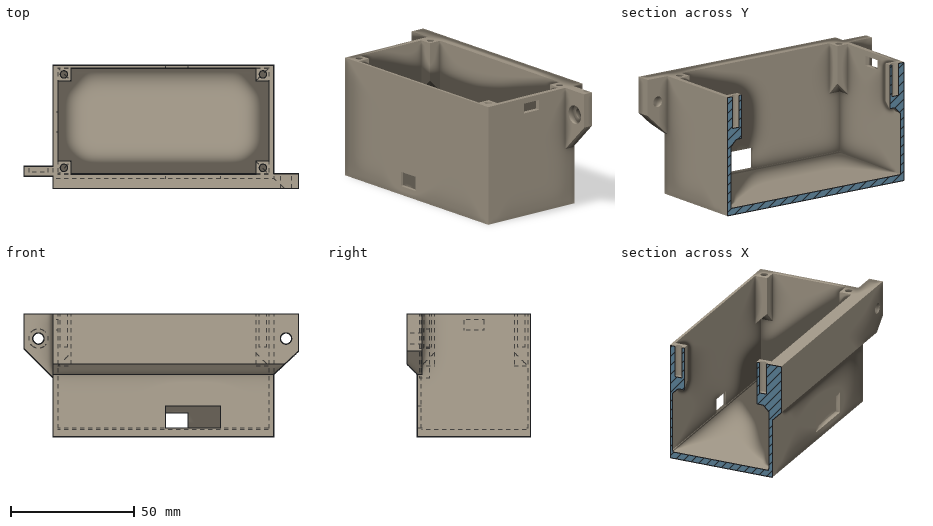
import cadquery as cq

total_length = 111.6
box_length = 89.7
box_width = 46.1
height = 50.0
wall = 2.0
back_wall = 1.1
front_wall = 1.7
floor = 3.0

ledge_depth = 0.3
ledge_top = 3.7

left_overhang = 11.8
right_overhang = total_length - left_overhang - box_length
bar_projection = 4.1
bar_thickness = 6.1
bar_end_height = 15.2
bar_face_height = 20.4

tab_thickness = 4.1
tab_front = 0.9
tab_edge_height = 14.2

mount_hole_diameter = 4.5
mount_hole_drop = 10.0
mount_hole_inset = 5.9
right_hole_inset = 5.1
tab_bore_diameter = 7.8
tab_bore_depth = 2.5

post_size = 5.4
post_length = 15.8
screw_diameter = 3.0
screw_depth = 13.4
screw_inset_x = 4.5
screw_spacing_y = 37.9

window_x = 45.8
window_z = ledge_top
window_length = 22.2
window_height = 8.8
port_length = 9.0
port_height = 6.0
slot_width = 8.1
slot_height = 4.1
slot_drop = 2.3

cavity_x = (wall, box_length - wall)
cavity_y = (front_wall, box_width - back_wall)


def block(x, y, z, length, width, tall):
    return cq.Workplane("XY").box(length, width, tall, centered=False).translate((x, y, z))


def make_cavity():
    """Inside of the box, narrower near the floor to leave a ledge along both long walls."""
    length = cavity_x[1] - cavity_x[0]
    width = cavity_y[1] - cavity_y[0]
    upper = block(cavity_x[0], cavity_y[0], ledge_top, length, width, height - ledge_top)
    foot_y = cavity_y[0] + ledge_depth
    foot_width = width - 2 * ledge_depth
    return upper.union(block(cavity_x[0], foot_y, floor, length, foot_width, height - floor))


def make_bar():
    """Front bar whose underside slopes down to the box at the front and the right end."""
    rear = bar_thickness - bar_projection
    face_bottom = height - bar_face_height
    slope_bottom = face_bottom - bar_projection
    end = box_length + right_overhang
    bar = (
        cq.Workplane("YZ")
        .polyline([
            (rear, height),
            (-bar_projection, height),
            (-bar_projection, face_bottom),
            (0, slope_bottom),
            (rear, slope_bottom),
        ])
        .close()
        .extrude(end)
    )
    outline = (
        cq.Workplane("XZ", origin=(0, rear, 0))
        .polyline([
            (0, height),
            (end, height),
            (end, height - bar_end_height),
            (box_length, slope_bottom),
            (0, slope_bottom),
        ])
        .close()
        .extrude(bar_thickness)
    )
    return bar.intersect(outline)


def make_tab():
    """Left tab with a 45 degree lower edge."""
    edge_bottom = height - tab_edge_height
    return (
        cq.Workplane("XZ", origin=(0, tab_front + tab_thickness, 0))
        .polyline([
            (0, height),
            (-left_overhang, height),
            (-left_overhang, edge_bottom),
            (0, edge_bottom - left_overhang),
        ])
        .close()
        .extrude(tab_thickness)
    )


def make_posts():
    """Four corner posts, each foot sloping at 45 degrees into both adjoining walls."""
    profile = [
        (0, height),
        (post_size, height),
        (post_size, height - post_length),
        (0, height - post_length - post_size),
    ]
    along_x = cq.Workplane("XZ").polyline(profile).close().extrude(-post_size)
    along_y = cq.Workplane("YZ").polyline(profile).close().extrude(post_size)
    left_front = along_x.union(along_y).translate((cavity_x[0], cavity_y[0], 0))
    middle_x = sum(cavity_x) / 2
    middle_y = sum(cavity_y) / 2
    left = left_front.union(left_front.mirror("XZ", (0, middle_y, 0)))
    return left.union(left.mirror("YZ", (middle_x, 0, 0)))


def make_screw_holes():
    """Blind lid screw holes, one in each post."""
    return (
        cq.Workplane("XY", origin=(box_length / 2, sum(cavity_y) / 2, height))
        .rect(box_length - 2 * screw_inset_x, screw_spacing_y, forConstruction=True)
        .vertices()
        .circle(screw_diameter / 2)
        .extrude(-screw_depth)
    )


def make_mount_holes():
    """Holes through the tab and the right end of the bar."""
    left_x = mount_hole_inset - left_overhang
    right_x = box_length + right_overhang - right_hole_inset
    hole_z = height - mount_hole_drop
    return (
        cq.Workplane("XZ", origin=(0, box_width, 0))
        .pushPoints([(left_x, hole_z), (right_x, hole_z)])
        .circle(mount_hole_diameter / 2)
        .extrude(box_width + bar_projection)
    )


def make_tab_bore():
    """Counterbore for the mounting screw, sunk into the rear of the tab."""
    rear = tab_front + tab_thickness
    return (
        cq.Workplane("XZ", origin=(0, rear, 0))
        .center(mount_hole_inset - left_overhang, height - mount_hole_drop)
        .circle(tab_bore_diameter / 2)
        .extrude(tab_bore_depth)
    )


def make_openings():
    """Front window, back port and left slot, each through one wall."""
    window = block(window_x, 0, window_z, window_length, front_wall + ledge_depth, window_height)
    port_y = cavity_y[1] - ledge_depth
    port = block(window_x, port_y, window_z, port_length, box_width - port_y, port_height)
    slot_z = height - slot_drop - slot_height
    slot_y = (box_width - slot_width) / 2
    slot = block(0, slot_y, slot_z, wall, slot_width, slot_height)
    return window.union(port).union(slot)


result = (
    block(0, 0, 0, box_length, box_width, height)
    .union(make_bar())
    .cut(make_cavity())
    .union(make_tab())
    .union(make_posts())
    .cut(make_screw_holes())
    .cut(make_mount_holes())
    .cut(make_tab_bore())
    .cut(make_openings())
)